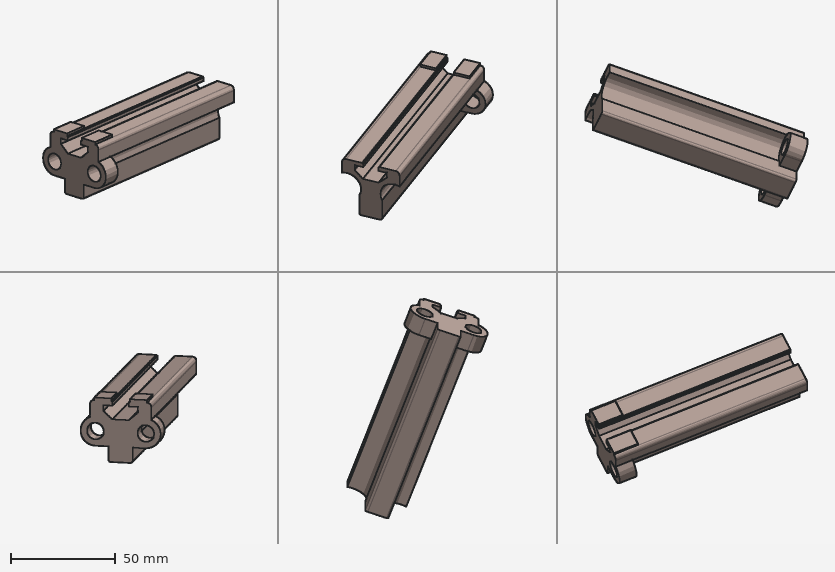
import cadquery as cq

LENGTH = 100.72
TOTAL_WIDTH = 39.17
TOTAL_HEIGHT = 31.26

BODY_WIDTH = 30.0
BODY_TOP = 30.0
SHOULDER_RADIUS = 2.1
STEM_WIDTH = 11.9
STEM_CORNER_RADIUS = 1.2

MOUTH_WIDTH = 8.0
MOUTH_CHAMFER = 0.55
LIP_BOTTOM = 27.7
SLOT_WIDTH = 16.8
SLOT_WALL_BOTTOM = 24.9
SLOT_FLOOR = 21.0
SLOT_FLOOR_WIDTH = 8.1

LOBE_RADIUS = 7.25
HOLE_DIAMETER = 8.08
HOLE_HEIGHT = 14.86
FLANGE_THICKNESS = 8.9
HOLE_OFFSET = TOTAL_WIDTH / 2 - LOBE_RADIUS
FLANGE_BOTTOM = HOLE_HEIGHT - LOBE_RADIUS

PAD_LENGTH = 12.7
PAD_OUTER_WIDTH = BODY_WIDTH - 2 * SHOULDER_RADIUS

SIDES = (-1, 1)


def box(width, y_start, y_end, z_bottom, z_top):
    """Block centred on X between the given Y and Z limits."""
    size_y = y_end - y_start
    block = cq.Workplane("XY").box(width, size_y, z_top - z_bottom, centered=(True, False, False))
    return block.translate((0, y_start, z_bottom))


def rod(side, radius, y_start, y_end):
    """Cylinder along Y on the screw axis of the given side."""
    plane = cq.Workplane("XZ", origin=(side * HOLE_OFFSET, y_start, HOLE_HEIGHT))
    return plane.circle(radius).extrude(y_start - y_end)


def make_rail():
    """Full-length bar: rounded head on a narrow stem, scooped along both screw axes."""
    head = box(BODY_WIDTH, 0, LENGTH, HOLE_HEIGHT, BODY_TOP)
    head = head.edges("|Y and >Z").fillet(SHOULDER_RADIUS)
    stem = box(STEM_WIDTH, 0, LENGTH, 0, HOLE_HEIGHT)
    stem = stem.edges("|Y and <Z").fillet(STEM_CORNER_RADIUS)
    rail = head.union(stem)
    for side in SIDES:
        rail = rail.cut(rod(side, LOBE_RADIUS, 0, LENGTH))
    return rail


def make_flange():
    """Front plate with a round lobe about each screw axis."""
    flange = box(2 * HOLE_OFFSET, 0, FLANGE_THICKNESS, FLANGE_BOTTOM, HOLE_HEIGHT)
    for side in SIDES:
        flange = flange.union(rod(side, LOBE_RADIUS, 0, FLANGE_THICKNESS))
    return flange


def make_pads():
    """Raised strip over the head, later split in two by the slot."""
    return box(PAD_OUTER_WIDTH, 0, PAD_LENGTH, LIP_BOTTOM, TOTAL_HEIGHT)


def make_slot():
    """T-slot cutter with a chamfered mouth and sloping lower walls."""
    pad_gap = MOUTH_WIDTH + 2 * MOUTH_CHAMFER
    right_half = [
        (SLOT_FLOOR_WIDTH / 2, SLOT_FLOOR),
        (SLOT_WIDTH / 2, SLOT_WALL_BOTTOM),
        (SLOT_WIDTH / 2, LIP_BOTTOM),
        (MOUTH_WIDTH / 2, LIP_BOTTOM),
        (MOUTH_WIDTH / 2, BODY_TOP - MOUTH_CHAMFER),
        (pad_gap / 2, BODY_TOP),
        (pad_gap / 2, TOTAL_HEIGHT),
    ]
    left_half = [(-x, z) for x, z in reversed(right_half)]
    return cq.Workplane("XZ").polyline(right_half + left_half).close().extrude(-LENGTH)


result = make_rail().union(make_flange()).union(make_pads()).cut(make_slot())
for hole_side in SIDES:
    result = result.cut(rod(hole_side, HOLE_DIAMETER / 2, 0, FLANGE_THICKNESS))